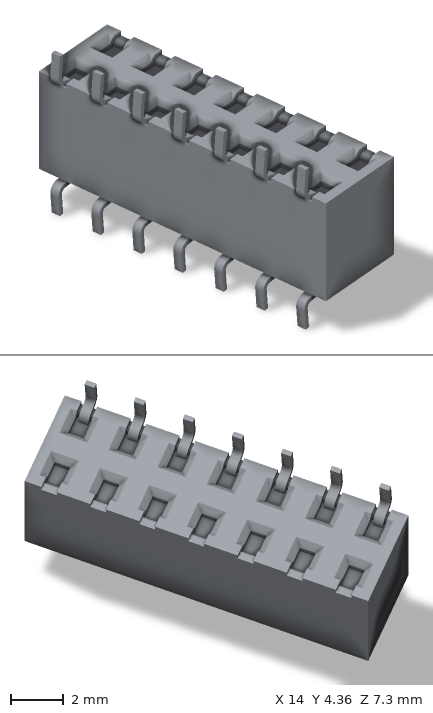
import math
import cadquery as cq

PITCH = 2.0
PIN_COUNT = 7
LENGTH = PIN_COUNT * PITCH
DEPTH = 4.05
HEIGHT = 4.47
FRONT_Y = -DEPTH / 2
PIN_X = [(i - (PIN_COUNT - 1) / 2) * PITCH for i in range(PIN_COUNT)]

STRIP_WIDTH = 0.4
STRIP_THICKNESS = 0.2
INNER_BEND = 0.2
OUTER_BEND = INNER_BEND + STRIP_THICKNESS
LEG_TILT = 5.0
LEG_OVERHANG = 0.31

UPPER_SLOPE = 15.5
UPPER_TIP = 1.31

LOWER_SLOPE = 5.0
LOWER_TIP = 1.52
LOWER_REACH = 2.6
LOWER_BEND_RISE = 0.2
LOWER_TAIL = 0.6

MOUTH = 1.15
SLOT_WIDTH = 0.64
FUNNEL_DEPTH = 0.25
SLOT_DEPTH = 0.5
LEDGE_DROP = 0.21
LEDGE_LENGTH = 0.42
UPPER_REACH = LEDGE_LENGTH + STRIP_THICKNESS
TAIL_EMBED = 0.1


def polar(center, radius, degrees):
    angle = math.radians(degrees)
    return (center[0] + radius * math.cos(angle), center[1] + radius * math.sin(angle))


def contact(x, slope, reach, tip_height, tail_bend_z, tail_length):
    """Strip with a rising leg, a sloping arm and a tail that drops straight down."""
    tail_bend = (FRONT_Y + reach - OUTER_BEND, tail_bend_z)
    leg_bend_y = FRONT_Y - LEG_OVERHANG + OUTER_BEND

    slope_rad = math.radians(slope)
    center_gap = INNER_BEND + OUTER_BEND
    arm_run = tail_bend[0] - leg_bend_y + center_gap * math.sin(slope_rad)
    arm_drop = arm_run * math.tan(slope_rad)
    leg_bend = (leg_bend_y, tail_bend_z + center_gap * math.cos(slope_rad) + arm_drop)

    leg_angle = 180 - LEG_TILT
    under_arm = 270 - slope
    over_arm = 90 - slope
    leg_middle = (leg_angle + under_arm) / 2
    tail_middle = over_arm / 2

    leg_outer = polar(leg_bend, OUTER_BEND, leg_angle)
    leg_inner = polar(leg_bend, INNER_BEND, leg_angle)
    leg_length = (tip_height - leg_outer[1]) / math.cos(math.radians(LEG_TILT))
    tail_z = tail_bend_z - tail_length

    return (
        cq.Workplane("YZ", origin=(x - STRIP_WIDTH / 2, 0, 0))
        .moveTo(*polar(leg_outer, leg_length, 90 - LEG_TILT))
        .lineTo(*leg_outer)
        .threePointArc(polar(leg_bend, OUTER_BEND, leg_middle), polar(leg_bend, OUTER_BEND, under_arm))
        .lineTo(*polar(tail_bend, INNER_BEND, over_arm))
        .threePointArc(polar(tail_bend, INNER_BEND, tail_middle), polar(tail_bend, INNER_BEND, 0))
        .lineTo(tail_bend[0] + INNER_BEND, tail_z)
        .lineTo(tail_bend[0] + OUTER_BEND, tail_z)
        .lineTo(*polar(tail_bend, OUTER_BEND, 0))
        .threePointArc(polar(tail_bend, OUTER_BEND, tail_middle), polar(tail_bend, OUTER_BEND, over_arm))
        .lineTo(*polar(leg_bend, INNER_BEND, under_arm))
        .threePointArc(polar(leg_bend, INNER_BEND, leg_middle), leg_inner)
        .lineTo(*polar(leg_inner, leg_length, 90 - LEG_TILT))
        .close()
        .extrude(STRIP_WIDTH)
    )


def upper_contact(x):
    """Contact resting on the rounded ledge of a front socket."""
    ledge_round_z = HEIGHT - LEDGE_DROP - INNER_BEND
    tail_length = ledge_round_z - (HEIGHT - SLOT_DEPTH - TAIL_EMBED)
    return contact(x, UPPER_SLOPE, UPPER_REACH, HEIGHT + UPPER_TIP, ledge_round_z, tail_length)


def lower_contact(x):
    """Contact with a hanging leg, made upright and mirrored through Z = 0."""
    upright = contact(x, LOWER_SLOPE, LOWER_REACH, LOWER_TIP, -LOWER_BEND_RISE, LOWER_TAIL)
    return upright.mirror("XY")


def front_socket(x):
    """Material removed for one socket of the front row."""
    row_y = -PITCH / 2
    funnel = (
        cq.Workplane("XY", origin=(x, row_y, HEIGHT))
        .rect(MOUTH, MOUTH)
        .workplane(offset=-FUNNEL_DEPTH)
        .rect(SLOT_WIDTH, SLOT_WIDTH)
        .loft(ruled=True)
    )
    slot_end_y = row_y + SLOT_WIDTH / 2
    ledge_y = FRONT_Y + LEDGE_LENGTH
    ledge_z = HEIGHT - LEDGE_DROP
    round_center = (ledge_y - INNER_BEND, ledge_z - INNER_BEND)
    slot = (
        cq.Workplane("YZ", origin=(x - SLOT_WIDTH / 2, 0, 0))
        .moveTo(FRONT_Y, HEIGHT)
        .lineTo(FRONT_Y, ledge_z)
        .lineTo(round_center[0], ledge_z)
        .threePointArc(polar(round_center, INNER_BEND, 45), polar(round_center, INNER_BEND, 0))
        .lineTo(ledge_y, HEIGHT - SLOT_DEPTH)
        .lineTo(slot_end_y, HEIGHT - SLOT_DEPTH)
        .lineTo(slot_end_y, HEIGHT)
        .close()
        .extrude(SLOT_WIDTH)
    )
    return funnel.union(slot)


result = cq.Workplane("XY").box(LENGTH, DEPTH, HEIGHT, centered=(True, True, False))

for pin_x in PIN_X:
    socket = front_socket(pin_x)
    result = result.cut(socket).cut(socket.mirror("XZ"))

for pin_x in PIN_X:
    result = result.union(upper_contact(pin_x)).union(lower_contact(pin_x))